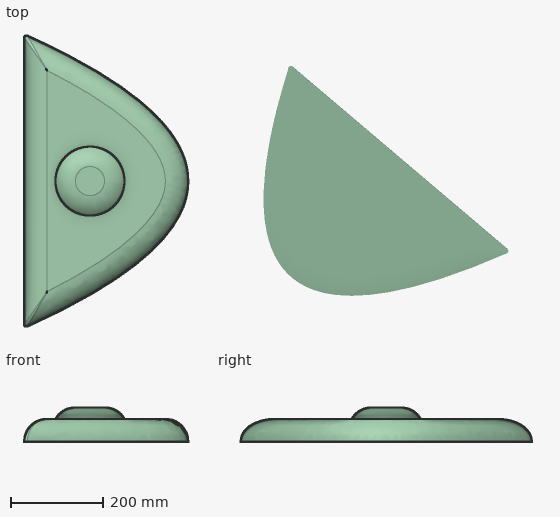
import cadquery as cq
import math

plate_length = 356.83
plate_half_width = 319.0
plate_height = 50.0
rim_radius = plate_height
corner_radius = 5.0
trim_depth = 5.0

dome_center_x = 143.0
dome_radius = 75.0
dome_height = 25.0
dome_edge_radius = 50.0


def make_blank():
    """Parabolic blank from below the base plane up to the plate top."""
    tip = (0, plate_half_width)
    opposite_tip = (0, -plate_half_width)
    middle_pole = (2 * plate_length, 0)
    return (
        cq.Workplane("XY", origin=(0, 0, -trim_depth))
        .moveTo(*opposite_tip)
        .bezier([opposite_tip, middle_pole, tip])
        .close()
        .extrude(plate_height + trim_depth)
    )


def make_plate():
    """Plate with a quarter-round rim over its full height and a rounded corner at each tip."""
    plate = make_blank().faces(">Z").edges().fillet(rim_radius)
    for tip_side in (">Y", "<Y"):
        plate = plate.edges(f"|Z and {tip_side}").fillet(corner_radius)
    trim = (
        cq.Workplane("XY")
        .rect(4 * plate_length, 4 * plate_half_width)
        .extrude(-2 * trim_depth)
    )
    return plate.cut(trim)


def make_dome():
    """Dome with a flat top and a round flank that is tangent to the top and meets the plate at an angle."""
    dome_top = plate_height + dome_height
    arc_center_z = dome_top - dome_edge_radius
    flank_run = math.sqrt(dome_edge_radius**2 - (plate_height - arc_center_z) ** 2)
    flat_radius = dome_radius - flank_run
    mid_angle = (math.pi / 2 + math.asin((plate_height - arc_center_z) / dome_edge_radius)) / 2
    flank_middle = (
        flat_radius + dome_edge_radius * math.cos(mid_angle),
        arc_center_z + dome_edge_radius * math.sin(mid_angle),
    )
    return (
        cq.Workplane("XZ", origin=(dome_center_x, 0, 0))
        .lineTo(dome_radius, 0)
        .lineTo(dome_radius, plate_height)
        .threePointArc(flank_middle, (flat_radius, dome_top))
        .lineTo(0, dome_top)
        .close()
        .revolve(360, (0, 0, 0), (0, 1, 0))
    )


result = make_plate().union(make_dome())